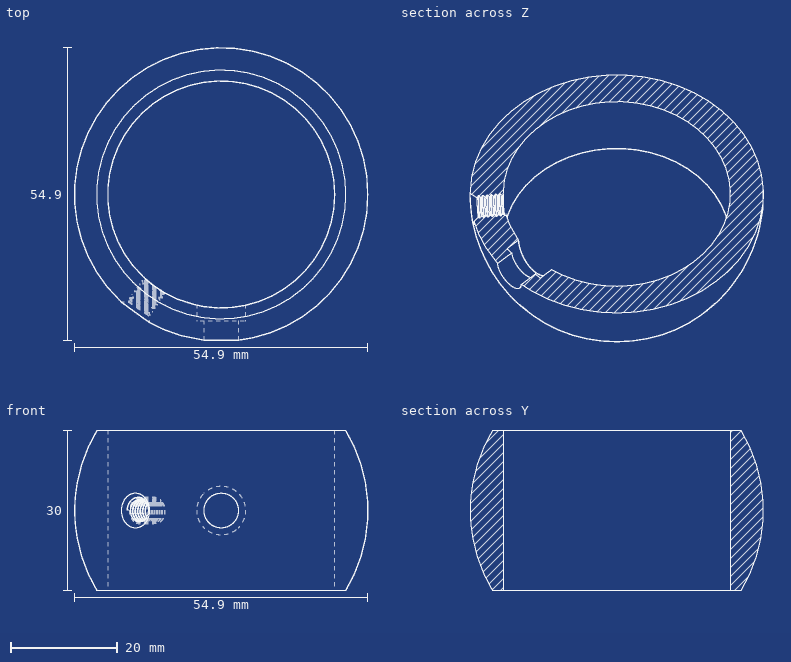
import cadquery as cq
import math

outer_radius = 27.45
rim_radius = 23.3
bore_radius = 42.4 / 2
height = 30.0

plain_hole_radius = 6.5 / 2
counterbore_radius = 9.1 / 2
counterbore_floor = 23.6

threaded_hole_angle = 36.0
thread_major_diameter = 5.0
thread_major_radius = thread_major_diameter / 2
thread_pitch = 0.16 * thread_major_diameter
thread_depth = 5 / 16 * math.sqrt(3) * thread_pitch
thread_minor_radius = thread_major_radius - thread_depth
thread_root_width = thread_pitch / 8
thread_mouth_width = thread_pitch * 3 / 4

countersink_radius = plain_hole_radius

clearance = 1.1


def make_ring():
    """Revolve the wall section: straight bore, flat rims, bulging outside."""
    half_height = height / 2
    return (
        cq.Workplane("XZ")
        .moveTo(bore_radius, -half_height)
        .lineTo(rim_radius, -half_height)
        .threePointArc((outer_radius, 0), (rim_radius, half_height))
        .lineTo(bore_radius, half_height)
        .close()
        .revolve(360, (0, 0, 0), (0, 1, 0))
    )


def make_cylinder(radius, start, end):
    """Cylinder on the Z axis between two heights."""
    return cq.Workplane("XY", origin=(0, 0, start)).circle(radius).extrude(end - start)


def make_countersink(tip_radius, start, end):
    """Cone on the Z axis, widening at 45 degrees to the axis."""
    return (
        cq.Workplane("XY", origin=(0, 0, start))
        .circle(tip_radius)
        .workplane(offset=end - start)
        .circle(tip_radius + end - start)
        .loft()
    )


def make_thread_groove(start, end):
    """Helical groove of trapezoidal section, reaching slightly into the core hole."""
    overlap = 0.05
    flank_slope = (thread_mouth_width - thread_root_width) / 2 / thread_depth
    inner_radius = thread_minor_radius - overlap
    inner_half_width = thread_mouth_width / 2 + overlap * flank_slope
    root_half_width = thread_root_width / 2
    helix = cq.Wire.makeHelix(thread_pitch, end - start, thread_minor_radius)
    groove = (
        cq.Workplane("XZ")
        .moveTo(inner_radius, -inner_half_width)
        .lineTo(thread_major_radius, -root_half_width)
        .lineTo(thread_major_radius, root_half_width)
        .lineTo(inner_radius, inner_half_width)
        .close()
        .sweep(cq.Workplane(obj=helix), isFrenet=True)
    )
    return groove.translate((0, 0, start))


def point_outward(tool, angle):
    """Lay a tool built along +Z down along -Y, then turn it toward -X by the angle."""
    return tool.rotate((0, 0, 0), (1, 0, 0), 90).rotate((0, 0, 0), (0, 0, 1), -angle)


tool_start = bore_radius - clearance
tool_end = outer_radius + clearance

plain_hole = make_cylinder(plain_hole_radius, tool_start, tool_end)
counterbore = make_cylinder(counterbore_radius, tool_start - clearance, counterbore_floor)

countersink_mouth = math.sqrt(outer_radius**2 - countersink_radius**2)
countersink_tip = countersink_mouth - (countersink_radius - thread_minor_radius)
core_hole = make_cylinder(thread_minor_radius, tool_start, countersink_tip + clearance)
countersink = make_countersink(thread_minor_radius, countersink_tip, tool_end)
thread_start = tool_start - thread_pitch / 2
thread_groove = make_thread_groove(thread_start, countersink_tip + thread_pitch / 2)

result = make_ring()
for tool in (plain_hole, counterbore):
    result = result.cut(point_outward(tool, 0))
for tool in (core_hole, thread_groove, countersink):
    result = result.cut(point_outward(tool, threaded_hole_angle))
result = result.solids()